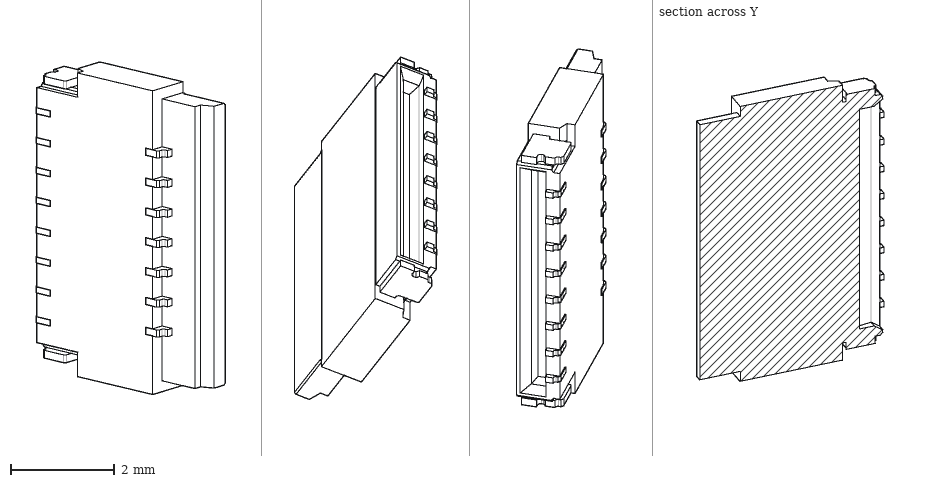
import cadquery as cq
import math


block_half_length = 3.05
block_front_x = 0.945
block_foot_x = 1.145
block_rear_x = 3.1
block_back_y = 0.9
housing_base_y = 0.02
block_slope_top_y = 0.27

nose_front_x = 0.1
nose_half_length = 2.67
nose_back_y = 0.89
nose_chamfer = 0.055
ledge_y = 0.18
ledge_width = 0.06
ledge_slope_width = 0.05
ledge_slope_height = 0.04

slot_base_y = 0.3
mouth_back_y = 0.82
mouth_half_length = 2.555
funnel_depth = 0.18
slot_back_y = 0.645
slot_half_length = 2.43
slot_run_depth = 0.305
slot_taper = 0.05

tongue_half_length = 2.83
tongue_back_y = nose_back_y
tongue_rear_x = 4.2
tongue_step_x = 3.945
tongue_base_y = 0.29
tongue_step_y = 0.46
tongue_slope_top_y = 0.56
tongue_chamfer = 0.035
tongue_chamfer_start_x = 3.16

front_contact_count = 8
front_contact_span = 4.195
contact_pitch = front_contact_span / (front_contact_count - 1)
front_contact_width = 0.12
front_contact_top_y = 0.28
front_contact_step_y = 0.12
front_contact_heel = 0.06
front_contact_length = 0.45
tail_count = 7
tail_width = 0.14
tail_tip_x = 3.355
tail_heel = 0.105
tail_length = 0.435
tail_step_y = 0.16
contact_bend = 0.04
contact_foot_chamfer_height = 0.04
contact_foot_chamfer_length = 0.04

tab_outer_z = tongue_half_length
tab_front_x = 0.115
tab_back_y = 0.8
tab_notch_top_y = 0.495
tab_notch_base_y = 0.38
tab_neck_x = 0.195
tab_neck_y = 0.335
tab_notch_x = 0.255
tab_step_y = 0.145
tab_rear_x = 0.85
tab_shoulder_y = 0.465
tab_bend = 0.06
tab_toe_length = 0.055
tab_heel_radius = 0.035
tab_toe_height = 0.04


def prism(outline, half_length):
    """Extrude an XY outline along Z, the same distance to both sides of mid length."""
    return cq.Workplane("XY").polyline(outline).close().extrude(half_length, both=True)


def on_circle(center, radius, degrees):
    """Return the point of a circle at an angle measured from +X."""
    angle = math.radians(degrees)
    return (center[0] + radius * math.cos(angle), center[1] + radius * math.sin(angle))


def bend(outline, center, radius, start, end):
    """Run an outline straight to an arc about center, then along it between two angles."""
    outline = outline.lineTo(*on_circle(center, radius, start))
    middle = on_circle(center, radius, (start + end) / 2)
    return outline.threePointArc(middle, on_circle(center, radius, end))


def make_block():
    """Full-length middle block whose front slopes back to a foot."""
    outline = [
        (block_front_x, block_back_y),
        (block_rear_x, block_back_y),
        (block_rear_x, housing_base_y),
        (block_foot_x, housing_base_y),
        (block_foot_x, ledge_y),
        (block_front_x, block_slope_top_y),
    ]
    return prism(outline, block_half_length)


def make_nose():
    """Mating nose with chamfered front ends and a stepped, sloped rebate at each end of its base."""
    length = nose_half_length
    outline = [
        (nose_front_x, -length + nose_chamfer),
        (nose_front_x + nose_chamfer, -length),
        (block_foot_x, -length),
        (block_foot_x, length),
        (nose_front_x + nose_chamfer, length),
        (nose_front_x, length - nose_chamfer),
    ]
    height = nose_back_y - housing_base_y
    nose = cq.Workplane("XZ", origin=(0, nose_back_y, 0)).polyline(outline).close().extrude(height)

    slope_outer_z = nose_half_length - ledge_width
    slope_inner_z = slope_outer_z - ledge_slope_width
    rebate = [
        (ledge_y, nose_half_length),
        (ledge_y, slope_outer_z),
        (ledge_y - ledge_slope_height, slope_inner_z),
        (housing_base_y, slope_inner_z),
        (housing_base_y, nose_half_length),
    ]
    cutter = cq.Workplane("YZ").polyline(rebate).close().extrude(block_foot_x)
    return nose.cut(cutter).cut(cutter.mirror("XY"))


def make_slot():
    """Mating slot: a funnel mouth leading to a run that narrows toward its flat inner end."""
    throat_x = nose_front_x + funnel_depth
    end_x = throat_x + slot_run_depth
    throat_height = slot_back_y - slot_base_y
    mouth_height = mouth_back_y - slot_base_y
    funnel = (
        cq.Workplane("YZ", origin=(nose_front_x, slot_base_y, 0))
        .center(mouth_height / 2, 0)
        .rect(mouth_height, 2 * mouth_half_length)
        .workplane(offset=funnel_depth)
        .center((throat_height - mouth_height) / 2, 0)
        .rect(throat_height, 2 * slot_half_length)
        .loft()
    )
    run = [
        (throat_x, slot_base_y),
        (end_x, slot_base_y + slot_taper),
        (end_x, slot_back_y - slot_taper),
        (throat_x, slot_back_y),
    ]
    return funnel.union(prism(run, slot_half_length))


def make_tongue():
    """Rear tongue with a sloped tip and chamfered back edges at both ends."""
    outline = [
        (block_rear_x, tongue_base_y),
        (tongue_step_x, tongue_base_y),
        (tongue_step_x, tongue_step_y),
        (tongue_rear_x, tongue_slope_top_y),
        (tongue_rear_x, tongue_back_y),
        (block_rear_x, tongue_back_y),
    ]
    tongue = prism(outline, tongue_half_length)
    corner = [
        (tongue_back_y, tongue_half_length),
        (tongue_back_y - tongue_chamfer, tongue_half_length),
        (tongue_back_y, tongue_half_length - tongue_chamfer),
    ]
    chamfer = (
        cq.Workplane("YZ", origin=(tongue_chamfer_start_x, 0, 0))
        .polyline(corner)
        .close()
        .extrude(tongue_rear_x - tongue_chamfer_start_x)
    )
    return tongue.cut(chamfer).cut(chamfer.mirror("XY"))


def make_contact(width, top_y, step_y, heel, length):
    """Solder contact with its tip at X = 0, bent down to a flat foot that runs toward +X."""
    outline = cq.Workplane("XY", origin=(0, 0, -width / 2)).moveTo(0, top_y).lineTo(0, step_y)
    outline = bend(outline, (heel - contact_bend, step_y - contact_bend), contact_bend, 90, 0)
    outline = outline.lineTo(heel, contact_foot_chamfer_height)
    outline = outline.lineTo(heel + contact_foot_chamfer_length, 0)
    return outline.lineTo(length, 0).lineTo(length, top_y).close().extrude(width)


def row(contact, count):
    """Repeat a contact along Z, centred on the part."""
    first_z = -(count - 1) / 2 * contact_pitch
    copies = cq.Workplane("XY")
    for index in range(count):
        copies = copies.add(contact.translate((0, 0, first_z + index * contact_pitch)))
    return copies


def make_tab():
    """Retention tab on the +Z end of the nose, with a notched front, chamfered toe and round heel."""
    outline = cq.Workplane("XY", origin=(0, 0, nose_half_length))
    outline = outline.moveTo(block_front_x, tab_back_y)
    outline = outline.lineTo(tab_front_x, tab_back_y).lineTo(tab_front_x, tab_notch_top_y)
    outline = bend(outline, (tab_notch_x - tab_bend, tab_notch_top_y - tab_bend), tab_bend, 90, 0)
    outline = outline.lineTo(tab_notch_x, tab_notch_base_y).lineTo(tab_neck_x, tab_neck_y)
    outline = bend(outline, (tab_neck_x, tab_step_y - tab_bend), tab_bend, 90, 0)
    outline = outline.lineTo(tab_notch_x, tab_toe_height).lineTo(tab_notch_x + tab_toe_length, 0)
    outline = bend(outline, (tab_rear_x - tab_heel_radius, tab_heel_radius), tab_heel_radius, 270, 360)
    outline = bend(outline, (tab_rear_x + tab_bend, tab_shoulder_y - tab_bend), tab_bend, 180, 90)
    outline = outline.lineTo(block_front_x, tab_shoulder_y).close()
    return outline.extrude(tab_outer_z - nose_half_length)


front_contact = make_contact(
    front_contact_width,
    front_contact_top_y,
    front_contact_step_y,
    front_contact_heel,
    front_contact_length,
)
tail = make_contact(tail_width, tongue_base_y, tail_step_y, tail_heel, tail_length)
tail = tail.mirror("YZ").translate((tail_tip_x, 0, 0))
tab = make_tab()

result = make_nose().union(make_block()).union(make_tongue()).cut(make_slot())
result = result.union(row(front_contact, front_contact_count)).union(row(tail, tail_count))
result = result.union(tab).union(tab.mirror("XY"))